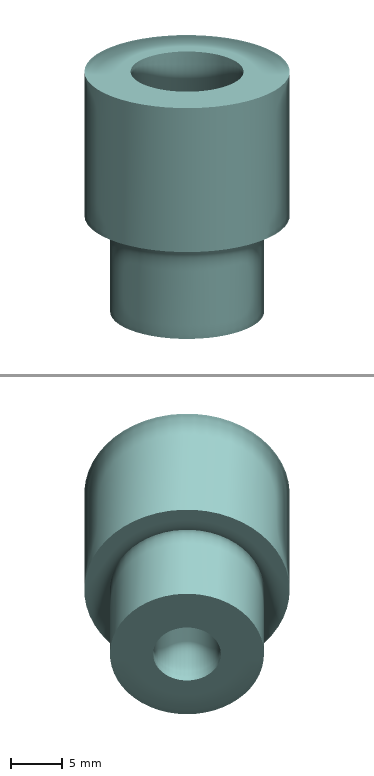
import cadquery as cq

total_height = 25
body_diameter = 20
neck_diameter = 15
neck_height = 10
through_hole_diameter = 6.6
counterbore_diameter = 11
counterbore_depth = 7

body_height = total_height - neck_height

neck = cq.Workplane("XY").circle(neck_diameter / 2).extrude(neck_height)
stepped_body = neck.faces(">Z").workplane().circle(body_diameter / 2).extrude(body_height)

result = (
    stepped_body.faces(">Z")
    .workplane()
    .cboreHole(through_hole_diameter, counterbore_diameter, counterbore_depth)
)